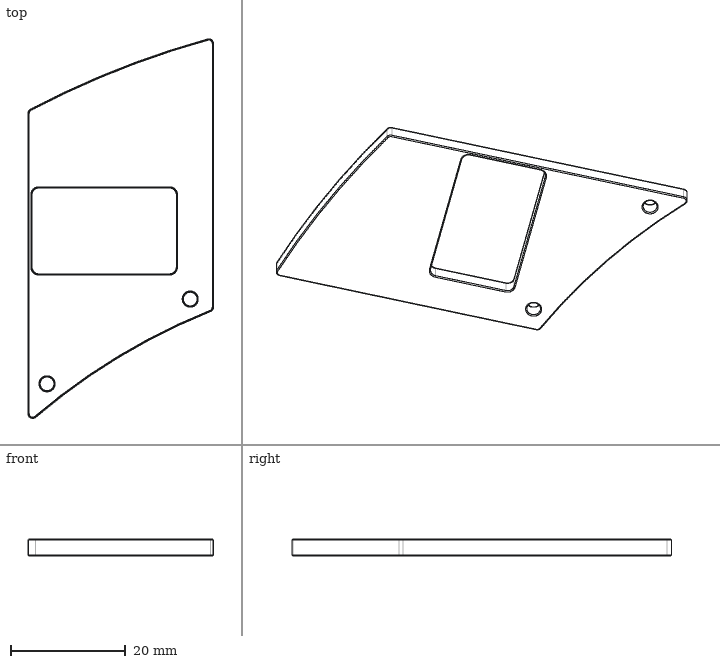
import math

import cadquery as cq

width = 32.35
thickness = 3.0
corner_radius = 0.8
edge_chamfer = 0.2
half_width = width / 2

arc_center_x = 56.6
arc_center_y = -116.57
lower_radius = 110.0
upper_radius = 155.3

window_length = 25.2
window_height = 15.0
window_corner_radius = 1.2
window_center = (-2.9, -0.4)

hole_diameter = 2.4
hole_spacing_x = 25.0
hole_spacing_y = 14.8
lower_hole = (-12.87, -27.1)
upper_hole = (lower_hole[0] + hole_spacing_x, lower_hole[1] + hole_spacing_y)


def arc_point(radius, x):
    """Point at the given x on the upper half of an end arc's circle."""
    return (x, arc_center_y + math.sqrt(radius**2 - (x - arc_center_x) ** 2))


def make_plate():
    """Plate with straight sides, curved ends and rounded corners."""
    return (
        cq.Workplane("XY")
        .moveTo(*arc_point(lower_radius, -half_width))
        .threePointArc(
            arc_point(lower_radius, 0),
            arc_point(lower_radius, half_width),
        )
        .lineTo(*arc_point(upper_radius, half_width))
        .threePointArc(
            arc_point(upper_radius, 0),
            arc_point(upper_radius, -half_width),
        )
        .close()
        .extrude(thickness)
        .edges("|Z")
        .fillet(corner_radius)
    )


def make_window():
    """Cutter for the rounded rectangular window."""
    return (
        cq.Workplane("XY")
        .center(*window_center)
        .rect(window_length, window_height)
        .extrude(thickness)
        .edges("|Z")
        .fillet(window_corner_radius)
    )


def make_holes():
    """Cutter for the through holes."""
    return (
        cq.Workplane("XY")
        .pushPoints([lower_hole, upper_hole])
        .circle(hole_diameter / 2)
        .extrude(thickness)
    )


plate = make_plate().cut(make_window()).cut(make_holes())

result = plate.faces("<Z or >Z").edges().chamfer(edge_chamfer)